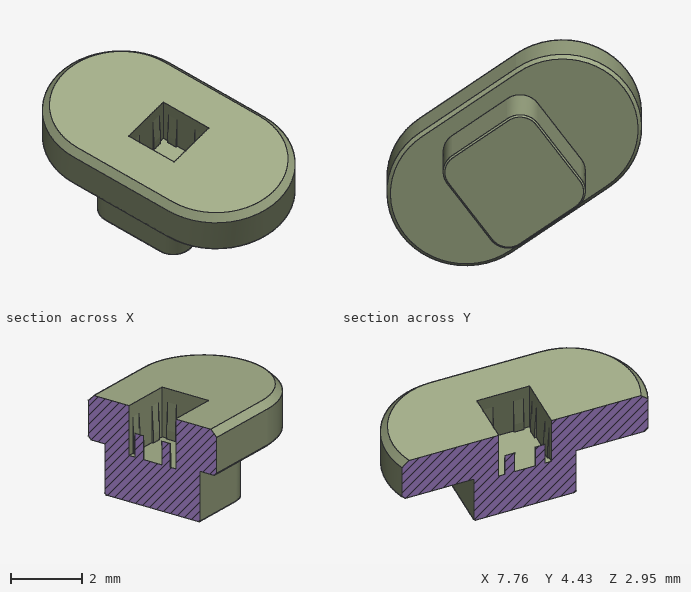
import cadquery as cq

head_length = 7.76
head_width = 4.43
head_height = 1.4
head_top_chamfer = 0.2
head_bottom_chamfer = 0.1

total_height = 2.95
stem_length = 3.12
stem_width = 3.3
stem_height = total_height - head_height
stem_corner_radius = 0.605
stem_chamfer = 0.05

socket_side = 1.6
socket_depth = 1.52

rib_width = 0.3
rib_corner_gap = 0.19
rib_thickness = 0.05
ramp_start_depth = 0.42
ramp_end_depth = 1.25


def make_head():
    return (
        cq.Workplane("XY", origin=(0, 0, stem_height))
        .slot2D(head_length, head_width)
        .extrude(head_height)
        .faces(">Z").chamfer(head_top_chamfer)
        .faces("<Z").chamfer(head_bottom_chamfer)
    )


def make_stem():
    return (
        cq.Workplane("XY")
        .rect(stem_length, stem_width)
        .extrude(stem_height)
        .edges("|Z").fillet(stem_corner_radius)
        .faces("<Z").chamfer(stem_chamfer)
    )


def make_socket():
    return (
        cq.Workplane("XY", origin=(0, 0, total_height))
        .rect(socket_side, socket_side)
        .extrude(-socket_depth)
    )


def make_rib(start_x):
    """Rib on the +Y socket wall, spanning rib_width in +X from start_x."""
    wall_y = socket_side / 2
    rib_y = wall_y - rib_thickness
    floor_z = total_height - socket_depth
    return (
        cq.Workplane("YZ", origin=(start_x, 0, 0))
        .moveTo(wall_y, floor_z)
        .lineTo(rib_y, floor_z)
        .lineTo(rib_y, total_height - ramp_end_depth)
        .lineTo(wall_y, total_height - ramp_start_depth)
        .close()
        .extrude(rib_width)
    )


socket = make_socket()
outer_start = -socket_side / 2 + rib_corner_gap
for rib_start in (outer_start, -outer_start - rib_width):
    rib = make_rib(rib_start)
    for wall_angle in (0, 90, 180, 270):
        socket = socket.cut(rib.rotate((0, 0, 0), (0, 0, 1), wall_angle))

result = make_head().union(make_stem()).cut(socket)